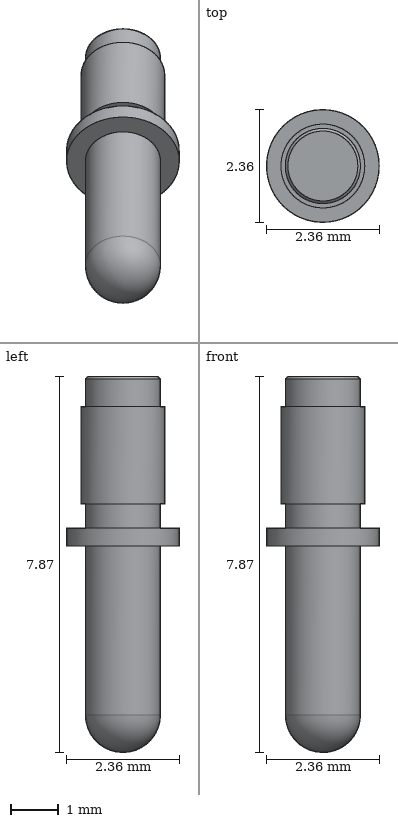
import cadquery as cq

total_length = 7.87
pin_diameter = 1.575
tip_chamfer = 0.055

sleeve_diameter = 1.755
sleeve_length = 2.04
sleeve_setback = 0.63

collar_diameter = 2.36
collar_thickness = 0.38
sleeve_gap = 0.5

pin_radius = pin_diameter / 2
bottom_z = -total_length / 2
top_z = total_length / 2
dome_start_z = bottom_z + pin_radius
sleeve_bottom_z = top_z - sleeve_setback - sleeve_length
collar_bottom_z = sleeve_bottom_z - sleeve_gap - collar_thickness


def make_pin():
    """Round pin with a hemispherical lower end and a chamfered flat upper end."""
    return (
        cq.Workplane("XZ")
        .moveTo(0, bottom_z)
        .radiusArc((pin_radius, dome_start_z), -pin_radius)
        .lineTo(pin_radius, top_z - tip_chamfer)
        .lineTo(pin_radius - tip_chamfer, top_z)
        .lineTo(0, top_z)
        .close()
        .revolve(360, (0, 0, 0), (0, 1, 0))
    )


def make_ring(outer_diameter, base_z, length):
    """Ring whose bore fits the pin."""
    return (
        cq.Workplane("XY", origin=(0, 0, base_z))
        .circle(outer_diameter / 2)
        .circle(pin_radius)
        .extrude(length)
    )


pin = make_pin()
sleeve = make_ring(sleeve_diameter, sleeve_bottom_z, sleeve_length)
collar = make_ring(collar_diameter, collar_bottom_z, collar_thickness)

result = cq.Compound.makeCompound([pin.val(), sleeve.val(), collar.val()])